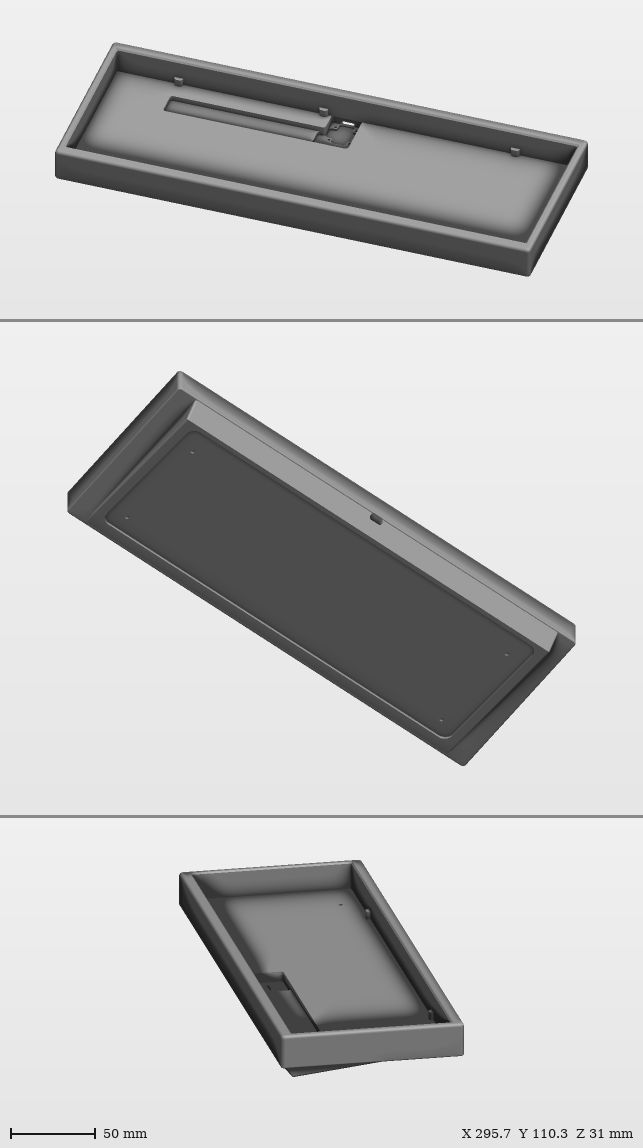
import cadquery as cq
import math

length = 295.7
width = 110.3
height = 31.0

tray_height = 20.5
tray_bottom = height - tray_height
end_wall = 4.7
long_wall = 7.0
floor_level = height - 16.5
corner_radius = 2.5
rim_radius = 1.92
bottom_edge_radius = 1.0
inner_rim_chamfer = 1.0
inner_corner_radius = 1.2

foot_length = 269.7
foot_rear_y = 54.0
foot_ridge_y = 45.5
foot_front_y = -53.2
foot_edge_radius = 1.2
foot_edge_inset = 3.0
slope_angle = math.degrees(math.atan2(tray_bottom, foot_ridge_y - foot_front_y))

recess_length = 256.7
recess_rear_gap = 3.0
recess_front_gap = 6.8
recess_depth = 1.8
recess_corner_radius = 6.0

screw_diameter = 2.55
screw_x = 116.8
front_screw_y = -36.0
rear_screw_y = 27.5
rear_screw_top = 7.7

lug_width = 5.3
lug_reach = 2.5
lug_height = 4.7
lug_corner_radius = 1.8
rear_lug_x = (-104.7, -14.5, 104.7)
front_lug_x = (-90.2, 90.2)

channel_left = -106.0
bay_right = 9.2
channel_front = 21.3
channel_rear = 36.0
channel_depth = 3.5
channel_corner_radius = 1.8
bay_left = -14.2
bay_depth = 6.2

seat_left = -9.8
seat_front = 31.0
seat_rear = 49.7
seat_depth = 7.7
board_hole_spacing_x = 12.7
board_hole_front_y = 33.7
board_hole_rear_y = 46.0
board_hole_diameter = 1.63
board_hole_depth = 2.5
board_hole_margin = 1.8
seat_edge_radius = 1.8
port_width = 9.0
port_height = 3.3
port_depth = 5.3

inner_length = length - 2 * end_wall
inner_rear_y = width / 2 - long_wall
seat_x = (seat_left + bay_right) / 2


def block(x0, x1, y0, y1, z0, z1):
    """Box given by its limits along each axis."""
    return cq.Workplane("XY").box(x1 - x0, y1 - y0, z1 - z0, centered=False).translate((x0, y0, z0))


def make_tray():
    tray = cq.Workplane("XY").box(length, width, tray_height, centered=(True, True, False))
    tray = tray.translate((0, 0, tray_bottom))
    tray = tray.edges("|Z").fillet(corner_radius)
    tray = tray.faces(">Z").edges().fillet(rim_radius)
    return tray.faces("<Z").edges().fillet(bottom_edge_radius)


def make_cavity():
    cavity = block(-inner_length / 2, inner_length / 2, -inner_rear_y, inner_rear_y, floor_level, height)
    cavity = cavity.edges("|Z").fillet(inner_corner_radius)
    rim = (
        cq.Workplane("XY", origin=(0, 0, height))
        .rect(inner_length + 2 * inner_rim_chamfer, 2 * (inner_rear_y + inner_rim_chamfer))
        .extrude(-inner_rim_chamfer, taper=45)
    )
    return cavity.union(rim)


def make_foot():
    """Triangular wedge with softened end edges, carried up through the tray bottom."""
    profile = [(foot_front_y, tray_bottom), (foot_ridge_y, 0), (foot_rear_y, tray_bottom)]
    foot = cq.Workplane("YZ", origin=(-foot_length / 2, 0, 0)).polyline(profile).close().extrude(foot_length)
    foot = foot.faces("<X or >X").edges("not |Y").fillet(foot_edge_radius)
    half_length = foot_length / 2
    lift = block(
        -half_length,
        half_length,
        foot_front_y + foot_edge_inset,
        foot_rear_y - foot_edge_inset,
        tray_bottom,
        floor_level,
    )
    return foot.union(lift)


def make_lug(x, side):
    """Rounded lug on the rear (side = 1) or front (side = -1) long wall."""
    lug = cq.Workplane("XY").box(lug_width, 2 * lug_reach, lug_height, centered=(True, True, False))
    lug = lug.edges("|Z").fillet(lug_corner_radius)
    return lug.translate((x, side * inner_rear_y, floor_level))


def make_underside_recess():
    """Rounded pocket cut square to the sloping underside."""
    slope_length = math.hypot(foot_ridge_y - foot_front_y, tray_bottom)
    recess_width = slope_length - recess_rear_gap - recess_front_gap
    pocket = (
        cq.Workplane("XY")
        .box(recess_length, recess_width, 2 * recess_depth)
        .edges("|Z")
        .fillet(recess_corner_radius)
        .translate((0, -recess_rear_gap - recess_width / 2, 0))
    )
    pocket = pocket.rotate((0, 0, 0), (1, 0, 0), -slope_angle)
    return pocket.translate((0, foot_ridge_y, 0))


def make_screw_holes():
    holes = cq.Workplane("XY")
    for x in (-screw_x, screw_x):
        for y, top in ((front_screw_y, floor_level), (rear_screw_y, rear_screw_top)):
            hole = cq.Workplane("XY").circle(screw_diameter / 2).extrude(top)
            holes = holes.union(hole.translate((x, y, 0)))
    return holes


def make_channel():
    """Cable channel, the deeper bay at its end and the way from the bay to the rear wall."""
    channel_floor = floor_level - channel_depth
    bay_floor = floor_level - bay_depth
    channel = block(channel_left, bay_right, channel_front, channel_rear, channel_floor, floor_level)
    channel = channel.edges("|Z").fillet(channel_corner_radius)
    bay = block(bay_left, bay_right, channel_front, channel_rear, bay_floor, floor_level)
    bay = bay.edges("|Z").fillet(channel_corner_radius)
    passage = block(seat_left, bay_right, seat_front, seat_rear, bay_floor, floor_level)
    passage = passage.edges("|Z and >Y").fillet(channel_corner_radius)
    channel = channel.union(bay).union(passage)
    corner_point = (seat_left, channel_rear, (bay_floor + floor_level) / 2)
    inside_corner = cq.selectors.NearestToPointSelector(corner_point)
    return channel.edges("|Z").edges(inside_corner).fillet(channel_corner_radius)


def make_seat():
    """Cross-shaped board seat that leaves a pad at each corner, with a screw hole in every pad."""
    seat_floor = floor_level - seat_depth
    bay_floor = floor_level - bay_depth
    half_gap = board_hole_spacing_x / 2 - board_hole_margin
    front_pad_edge = board_hole_front_y + board_hole_margin
    rear_pad_edge = board_hole_rear_y - board_hole_margin
    across = block(seat_left, bay_right, front_pad_edge, rear_pad_edge, seat_floor, bay_floor)
    along = block(seat_x - half_gap, seat_x + half_gap, seat_front, seat_rear, seat_floor, bay_floor)
    seat = across.union(along).edges("|Z").fillet(seat_edge_radius)
    for x in (seat_x - board_hole_spacing_x / 2, seat_x + board_hole_spacing_x / 2):
        for y in (board_hole_front_y, board_hole_rear_y):
            hole = cq.Workplane("XY").circle(board_hole_diameter / 2).extrude(-board_hole_depth)
            seat = seat.union(hole.translate((x, y, bay_floor)))
    return seat


def make_port():
    """Round-ended connector opening from the seat out through the rear wall."""
    return (
        cq.Workplane("XZ", origin=(seat_x, width, floor_level - port_depth))
        .slot2D(port_width, port_height)
        .extrude(width - board_hole_rear_y)
    )


result = make_tray().union(make_foot()).cut(make_cavity()).cut(make_underside_recess())
for lug_x in rear_lug_x:
    result = result.union(make_lug(lug_x, 1))
for lug_x in front_lug_x:
    result = result.union(make_lug(lug_x, -1))
result = result.cut(make_channel()).cut(make_seat()).cut(make_port()).cut(make_screw_holes())